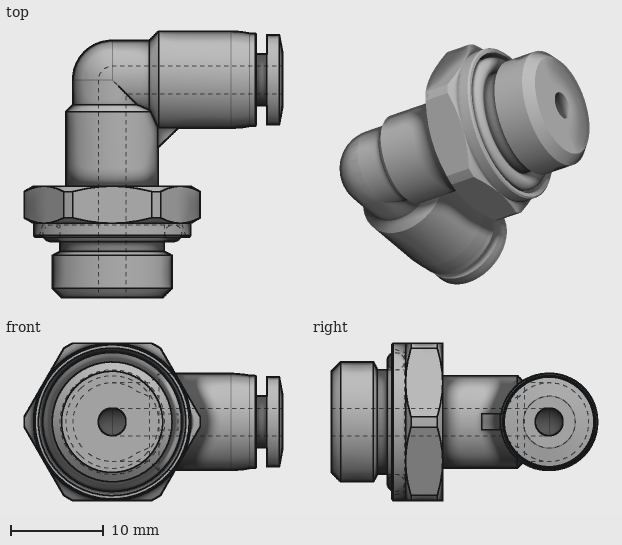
import cadquery as cq
import math


thread_dia = 12.95
thread_end_chamfer = 1.0
thread_top_y = 4.55
neck_dia = 11.3
neck_start_y = 4.97

flange_dia = 17.0
flange_bottom_y = 6.53
flange_chamfer = 0.17
recess_mouth_radius = 7.95
recess_floor_radius = 7.53
seal_bottom_y = 6.05
seal_section_radius = 0.92

hex_across_flats = flange_dia
hex_turned_dia = 19.0
hex_bottom_y = 8.02
hex_top_y = 12.02
hex_chamfer_angle = 30.0

shank_dia = 10.0
shank_shoulder_y = 20.07
elbow_dia = 8.5
bore_dia = 3.0

port_dia = 10.5
port_y = 28.75 - port_dia / 2
port_cone_start_x = 4.02
port_taper_start_x = 12.82
port_taper_end_x = 14.8
port_end_x = 15.55
port_taper_end_radius = 5.03
port_lip_radius = shank_dia / 2
port_end_chamfer = 0.12

button_neck_dia = 5.6
button_dia = 9.7
button_start_x = 16.7
button_rim_x = 18.05
button_end_x = 18.43
button_face_dia = 5.6

gusset_thickness = 1.72
gusset_foot_y = 16.22
gusset_tip_x = 7.1

seal_center_radius = neck_dia / 2 + seal_section_radius
seal_center_y = seal_bottom_y + seal_section_radius
recess_floor_y = seal_center_y + seal_section_radius


def revolve_about_y(profile):
    return profile.close().revolve(360, (0, 0, 0), (0, 1, 0))


def cylinder_y(diameter, start_y, end_y):
    outline = cq.Workplane("XZ", origin=(0, start_y, 0)).circle(diameter / 2)
    return outline.extrude(start_y - end_y)


def cylinder_x(diameter, end_x):
    return cq.Workplane("YZ", origin=(0, port_y, 0)).circle(diameter / 2).extrude(end_x)


def make_stud():
    """Thread, neck and flange, with the recess open toward the thread."""
    thread_radius = thread_dia / 2
    flange_radius = flange_dia / 2
    return revolve_about_y(
        cq.Workplane("XY")
        .moveTo(0, 0)
        .lineTo(thread_radius - thread_end_chamfer, 0)
        .lineTo(thread_radius, thread_end_chamfer)
        .lineTo(thread_radius, thread_top_y)
        .lineTo(neck_dia / 2, neck_start_y)
        .lineTo(neck_dia / 2, recess_floor_y)
        .lineTo(recess_floor_radius, recess_floor_y)
        .lineTo(recess_mouth_radius, flange_bottom_y)
        .lineTo(flange_radius - flange_chamfer, flange_bottom_y)
        .lineTo(flange_radius, flange_bottom_y + flange_chamfer)
        .lineTo(flange_radius, hex_bottom_y)
        .lineTo(0, hex_bottom_y)
    )


def make_hexagon():
    """Hexagonal prism with turned corners and both ends chamfered."""
    prism = (
        cq.Workplane("XZ", origin=(0, hex_bottom_y, 0))
        .polygon(6, hex_across_flats / math.cos(math.radians(30)))
        .extrude(hex_bottom_y - hex_top_y)
    )
    turned_radius = hex_turned_dia / 2
    face_radius = hex_across_flats / 2
    chamfer_height = (turned_radius - face_radius) * math.tan(math.radians(hex_chamfer_angle))
    turned_blank = revolve_about_y(
        cq.Workplane("XY")
        .moveTo(0, hex_bottom_y)
        .lineTo(face_radius, hex_bottom_y)
        .lineTo(turned_radius, hex_bottom_y + chamfer_height)
        .lineTo(turned_radius, hex_top_y - chamfer_height)
        .lineTo(face_radius, hex_top_y)
        .lineTo(0, hex_top_y)
    )
    return prism.intersect(turned_blank)


def make_shank():
    """Round shank whose 45 degree shoulder steps down to the elbow diameter."""
    shoulder_height = (shank_dia - elbow_dia) / 2
    return revolve_about_y(
        cq.Workplane("XY")
        .moveTo(0, hex_top_y)
        .lineTo(shank_dia / 2, hex_top_y)
        .lineTo(shank_dia / 2, shank_shoulder_y)
        .lineTo(elbow_dia / 2, shank_shoulder_y + shoulder_height)
        .lineTo(elbow_dia / 2, port_y)
        .lineTo(0, port_y)
    )


def make_corner(diameter):
    return cq.Workplane("XY", origin=(0, port_y, 0)).sphere(diameter / 2)


def make_port():
    """Tube port and release button, revolved about the port axis."""
    cone_length = (port_dia - elbow_dia) / 2
    return (
        cq.Workplane("XY", origin=(0, port_y, 0))
        .moveTo(0, 0)
        .lineTo(0, elbow_dia / 2)
        .lineTo(port_cone_start_x, elbow_dia / 2)
        .lineTo(port_cone_start_x + cone_length, port_dia / 2)
        .lineTo(port_taper_start_x, port_dia / 2)
        .tangentArcPoint((port_taper_end_x, port_taper_end_radius), relative=False)
        .lineTo(port_end_x - port_end_chamfer, port_lip_radius)
        .lineTo(port_end_x, port_lip_radius - port_end_chamfer)
        .lineTo(port_end_x, button_neck_dia / 2)
        .lineTo(button_start_x, button_neck_dia / 2)
        .lineTo(button_start_x, button_dia / 2)
        .lineTo(button_rim_x, button_dia / 2)
        .lineTo(button_end_x, button_face_dia / 2)
        .lineTo(button_end_x, 0)
        .close()
        .revolve(360, (0, 0, 0), (1, 0, 0))
    )


def make_gusset():
    """Triangular web in the inner corner, rooted inside the shank and the port."""
    shank_side_x = shank_dia / 2
    port_side_y = port_y - port_dia / 2
    return (
        cq.Workplane("XY")
        .moveTo(0, gusset_foot_y)
        .lineTo(shank_side_x, gusset_foot_y)
        .lineTo(gusset_tip_x, port_side_y)
        .lineTo(gusset_tip_x, port_y)
        .lineTo(0, port_y)
        .close()
        .extrude(gusset_thickness / 2, both=True)
    )


def make_bore():
    """Flow passage from the stud end, round the elbow and out through the button."""
    return (
        cylinder_y(bore_dia, 0, port_y)
        .union(make_corner(bore_dia))
        .union(cylinder_x(bore_dia, button_end_x))
    )


def make_housing():
    return (
        make_stud()
        .union(make_hexagon())
        .union(make_shank())
        .union(make_corner(elbow_dia))
        .union(make_port())
        .union(make_gusset())
        .cut(make_bore())
    )


def make_seal_ring():
    return (
        cq.Workplane("XY")
        .center(seal_center_radius, seal_center_y)
        .circle(seal_section_radius)
        .revolve(360, (-seal_center_radius, 0, 0), (-seal_center_radius, 1, 0))
    )


housing = make_housing()
seal_ring = make_seal_ring()

result = cq.Compound.makeCompound([housing.val(), seal_ring.val()])